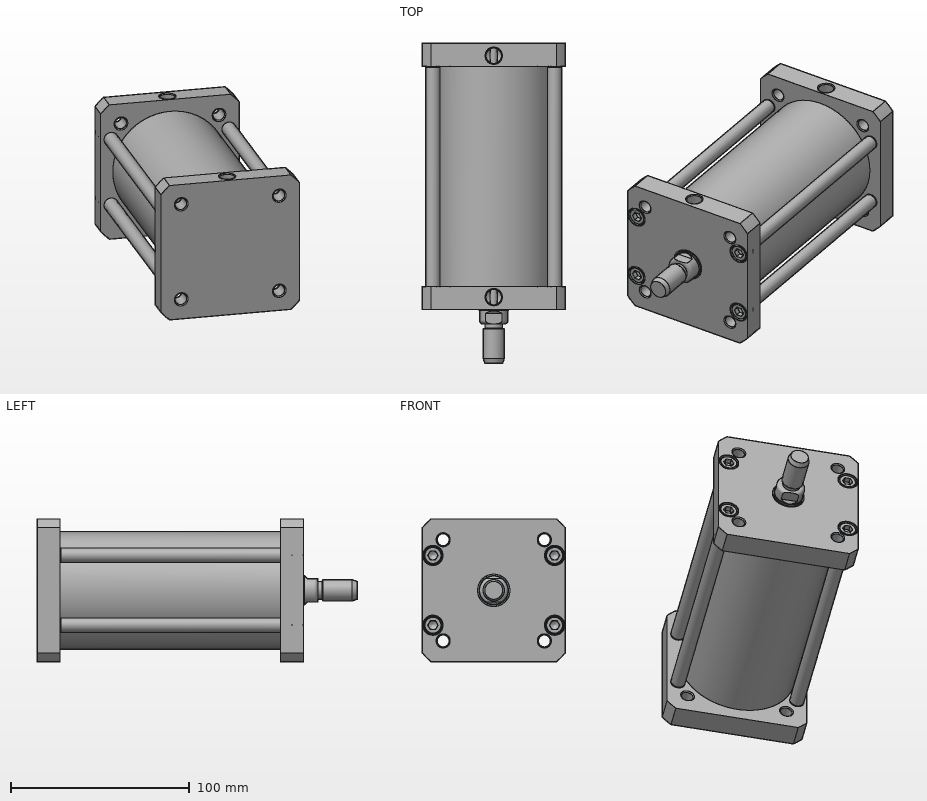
import cadquery as cq
import math


TINY = 0.02

total_length = 179.0
rod_reach = 30.0
plate_thickness = 12.9
rear_face_y = total_length - rod_reach
barrel_start_y = plate_thickness
barrel_end_y = rear_face_y - plate_thickness

plate_width = 80.0
plate_corner_diameter = 106.3

mount_pitch = 56.5
mount_diameter = 6.6
mount_mouth_diameter = 7.9

port_diameter = 8.6
port_mouth_diameter = 9.7
port_depth = 8.0
port_tip_angle = 118
port_tip_height = port_diameter / 2 / math.tan(math.radians(port_tip_angle / 2))
port_to_inner_face = 5.9
port_pin_diameter = 4.0

barrel_diameter = 66.0
barrel_bore = 63.0

tie_pitch_x = 68.0
tie_pitch_z = 39.0
tie_diameter = 8.0
stud_diameter = 7.0
stud_length = 9.0
shoulder_gap = 0.5
head_diameter = 10.0
head_height = 6.0
head_chamfer = 0.5
head_recess = 0.4
head_bore_diameter = 11.0
head_bore_mouth_diameter = 11.3
socket_width = 5.0
socket_depth = 3.0
socket_tip_height = 1.5

rod_diameter = 16.0
collar_length = 8.0
collar_rounding = 2.0
flat_width = 13.0
flat_start = 2.1
neck_diameter = 10.0
neck_length = 2.3
thread_diameter = 12.0
thread_lead_in = 0.4
rod_tip_diameter = 10.0
rod_tip_length = 2.9

lip_diameter = 16.5
lip_height = 0.5
lip_groove_diameter = 18.0
lip_groove_depth = 0.5


def y_cylinder(diameter, start_y, end_y, x=0.0, z=0.0):
    """Cylinder along Y between two Y positions."""
    return cq.Workplane(
        cq.Solid.makeCylinder(diameter / 2, end_y - start_y, cq.Vector(x, start_y, z), cq.Vector(0, 1, 0))
    )


def cone(start_diameter, end_diameter, height, base, direction):
    """Cone frustum from a base point along a direction."""
    return cq.Workplane(
        cq.Solid.makeCone(start_diameter / 2, end_diameter / 2, height, cq.Vector(*base), cq.Vector(*direction))
    )


def grid_points(pitch_x, pitch_z):
    """The four (x, z) corners of a rectangle centred on the cylinder axis."""
    return [(sx * pitch_x / 2, sz * pitch_z / 2) for sx in (-1, 1) for sz in (-1, 1)]


def mount_hole(start_y, x, z):
    """Through hole with a 45 degree chamfer at each plate face."""
    end_y = start_y + plate_thickness
    chamfer = (mount_mouth_diameter - mount_diameter) / 2
    hole = y_cylinder(mount_diameter, start_y - TINY, end_y + TINY, x, z)
    hole = hole.union(cone(mount_mouth_diameter, mount_diameter, chamfer, (x, start_y, z), (0, 1, 0)))
    return hole.union(cone(mount_mouth_diameter, mount_diameter, chamfer, (x, end_y, z), (0, -1, 0)))


def port(port_y):
    """Drilled port with a chamfered mouth, a conical bottom and a bridge pin left across it."""
    top = plate_width / 2
    chamfer = (port_mouth_diameter - port_diameter) / 2
    down = (0, 0, -1)
    hole = cq.Workplane(
        cq.Solid.makeCylinder(port_diameter / 2, port_depth, cq.Vector(0, port_y, top), cq.Vector(*down))
    )
    hole = hole.union(cone(port_mouth_diameter, port_diameter, chamfer, (0, port_y, top), down))
    hole = hole.union(cone(port_diameter, 0, port_tip_height, (0, port_y, top - port_depth), down))
    pin_z = top - port_depth
    return hole.cut(y_cylinder(port_pin_diameter, port_y - port_diameter, port_y + port_diameter, 0, pin_z))


def blank_plate(start_y, port_y):
    """Square plate with turned corners, mounting holes and a port."""
    centre_y = start_y + plate_thickness / 2
    plate = cq.Workplane("XY").box(plate_width, plate_thickness, plate_width).translate((0, centre_y, 0))
    plate = plate.intersect(y_cylinder(plate_corner_diameter, start_y, start_y + plate_thickness))
    for x, z in grid_points(mount_pitch, mount_pitch):
        plate = plate.cut(mount_hole(start_y, x, z))
    return plate.cut(port(port_y))


def make_front_plate():
    """Front plate with the rod passage, wiper lip and counterbores for the tie rod heads."""
    plate = blank_plate(0, plate_thickness - port_to_inner_face)
    plate = plate.cut(y_cylinder(lip_groove_diameter, 0, lip_groove_depth))
    plate = plate.union(y_cylinder(lip_diameter, -lip_height, lip_groove_depth))
    plate = plate.cut(y_cylinder(rod_diameter, -rod_reach, plate_thickness))
    mouth_chamfer = (head_bore_mouth_diameter - head_bore_diameter) / 2
    for x, z in grid_points(tie_pitch_x, tie_pitch_z):
        plate = plate.cut(y_cylinder(tie_diameter, 0, plate_thickness, x, z))
        plate = plate.cut(y_cylinder(head_bore_diameter, 0, head_recess + head_height, x, z))
        plate = plate.cut(cone(head_bore_mouth_diameter, head_bore_diameter, mouth_chamfer, (x, 0, z), (0, 1, 0)))
    return plate


def make_rear_plate():
    """Rear plate with blind holes for the tie rod studs."""
    plate = blank_plate(barrel_end_y, barrel_end_y + port_to_inner_face)
    for x, z in grid_points(tie_pitch_x, tie_pitch_z):
        plate = plate.cut(y_cylinder(stud_diameter, barrel_end_y, barrel_end_y + stud_length, x, z))
    return plate


def make_barrel():
    """Plain tube clamped between the two plates."""
    barrel = y_cylinder(barrel_diameter, barrel_start_y, barrel_end_y)
    return barrel.cut(y_cylinder(barrel_bore, barrel_start_y, barrel_end_y))


def make_tie_rod(x, z):
    """Tie rod with a sunk socket head in front and a thinner stud behind."""
    head_end_y = head_recess + head_height
    head = y_cylinder(head_diameter, head_recess, head_end_y, x, z).faces("<Y").edges().chamfer(head_chamfer)
    shank = y_cylinder(tie_diameter, head_end_y, barrel_end_y - shoulder_gap, x, z)
    stud = y_cylinder(stud_diameter, barrel_end_y - shoulder_gap, barrel_end_y + stud_length, x, z)
    corner_diameter = socket_width / math.cos(math.radians(30))
    socket = cq.Workplane("XZ", origin=(x, head_recess, z)).polygon(6, corner_diameter).extrude(-socket_depth)
    socket_tip = cone(socket_width, 0, socket_tip_height, (x, head_recess + socket_depth, z), (0, 1, 0))
    return head.union(shank).union(stud).cut(socket).cut(socket_tip)


def wrench_flat(side):
    """Tool for one flat of the collar, with a 45 degree run-out toward the plate."""
    flat_z = flat_width / 2
    tool_depth = rod_diameter - flat_z
    profile = [
        (-collar_length, flat_z),
        (-flat_start, flat_z),
        (tool_depth - flat_start, rod_diameter),
        (-collar_length, rod_diameter),
    ]
    return (
        cq.Workplane("YZ")
        .polyline([(y, side * z) for y, z in profile])
        .close()
        .extrude(rod_diameter / 2, both=True)
    )


def make_piston_rod():
    """Turned rod with a wrench collar, a neck and a threaded end."""
    neck_end = collar_length + neck_length
    thread_start = neck_end + thread_lead_in
    rod_radius = rod_diameter / 2
    rod = (
        cq.Workplane("XY")
        .moveTo(0, plate_thickness)
        .lineTo(rod_radius, plate_thickness)
        .lineTo(rod_radius, collar_rounding - collar_length)
        .tangentArcPoint((thread_diameter / 2, -collar_length), relative=False)
        .lineTo(neck_diameter / 2, -collar_length)
        .lineTo(neck_diameter / 2, -neck_end)
        .lineTo(thread_diameter / 2, -thread_start)
        .lineTo(thread_diameter / 2, rod_tip_length - rod_reach)
        .lineTo(rod_tip_diameter / 2, -rod_reach)
        .lineTo(0, -rod_reach)
        .close()
        .revolve(360, (0, 0, 0), (0, 1, 0))
    )
    return rod.cut(wrench_flat(1)).cut(wrench_flat(-1))


front_plate = make_front_plate()
rear_plate = make_rear_plate()
barrel = make_barrel()
piston_rod = make_piston_rod()
tie_rods = [make_tie_rod(x, z) for x, z in grid_points(tie_pitch_x, tie_pitch_z)]

result = cq.Compound.makeCompound(
    [
        front_plate.val(),
        rear_plate.val(),
        barrel.val(),
        piston_rod.val(),
        *[tie_rod.val() for tie_rod in tie_rods],
    ]
)